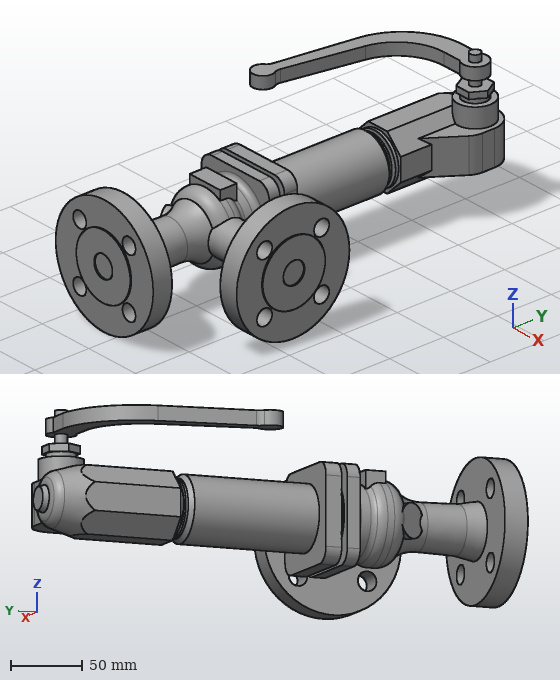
import cadquery as cq
import math


FACE_DISTANCE = 95.0
FLANGE_RADIUS = 105.0 / 2
FLANGE_BACK = 76.5
RAISED_FACE_RADIUS = 29.0
RAISED_FACE_HEIGHT = 1.0
PORT_RADIUS = 10.0
PORT_DEPTH = 1.0
BOLT_CIRCLE_RADIUS = 37.5
BOLT_HOLE_RADIUS = 7.0
BOLT_COUNT = 4
HUB_RADIUS = 21.2
HUB_START = 62.0

OUTLET_ROOT_RADIUS = 16.0
OUTLET_PIPE_RADIUS = 16.5

INLET_PIPE_RADIUS = 18.5
INLET_NECK_RADIUS = 17.5
INLET_NECK_Y = -32.0
BULGE_RADIUS = 31.0
BULGE_TOP_Y = 4.2
BULGE_BOTTOM_Y = -1.0
BULGE_ROOT_RADIUS = 24.0
BULGE_ROOT_Y = -12.5
SHOULDER_RADIUS = 28.5
SHOULDER_Y = 11.0
BODY_RADIUS = 27.0
BODY_Y = 15.2
BODY_FILLET = 5.0

SQUARE_SIDE = 72.8
SQUARE_CORNER = 11.0
LOWER_SQUARE_Y = 27.5
LOWER_SQUARE_TOP_Y = 37.5
UPPER_SQUARE_Y = 41.7
UPPER_SQUARE_TOP_Y = 53.7
GASKET_RADIUS = 31.5
GASKET_THICKNESS = 1.0
SPIGOT_RADIUS = 28.3

TUBE_RADIUS = 24.7
TUBE_SHOULDER_Y = 149.2
TUBE_RIM_RADIUS = 21.5
TUBE_RIM_Y = 152.7
TUBE_TOP_Y = 154.5
GROOVE_RADIUS = 18.5
COLLAR_RADIUS = 22.5
COLLAR_Y = 157.0

CAP_Y = 159.8
CAP_SIDES = 8
CAP_CORNER_RADIUS = TUBE_RADIUS / math.cos(math.pi / CAP_SIDES)
CONE_START_Y = 225.5
CONE_END_Y = 247.0
CONE_END_RADIUS = 20.5
CROWN_RADIUS = 15.5
CROWN_Y = 253.0
TIP_BASE_RADIUS = 10.0
TIP_BASE_Y = 254.0
TIP_RADIUS = 8.5
TOP_Y = 258.5

SHAFT_X = 22.3
SHAFT_Y = 231.2
SHAFT_RADIUS = 4.5
OVERALL_HEIGHT = 120.5
SHAFT_TOP_Z = OVERALL_HEIGHT - FLANGE_RADIUS
HOUSING_RADIUS = 20.5
HOUSING_HALF_HEIGHT = 15.5
HOUSING_CORNER_Y = 214.5
HOUSING_TIP_X = 19.0
HOUSING_TIP_Y = 180.3
HOUSING_CORNER_FILLET = 17.5
BOSS_RADIUS = 16.3
BOSS_TOP_Z = 33.0
WASHER_RADIUS = 11.0
NUT_BOTTOM_Z = 37.0
NUT_TOP_Z = 42.8
NUT_SIDES = 6
NUT_ACROSS_FLATS = 23.7

LEVER_BOTTOM_Z = 51.0
LEVER_TOP_Z = 62.0
LEVER_EYE_RADIUS = 11.0
LEVER_HALF_WIDTH = 9.0
OUTER_BEND_X = -1.5
OUTER_BEND_RADIUS = 56.2
OUTER_LEAN = 7.8
INNER_BEND_X = -1.5
INNER_BEND_RADIUS = 43.5
INNER_LEAN = 10.3
KNOB_X = -63.5
KNOB_Y = 108.0
KNOB_RADIUS = 9.2
KNOB_FILLET = 7.8

PAD_LENGTH = 33.0
PAD_BOTTOM_Y = -0.7
PAD_TOP_Y = 15.0
PAD_TOP_Z = 35.0

DRAIN_X = -22.5
DRAIN_Y = -18.5
DRAIN_RADIUS = 12.7
DRAIN_DEPTH = 17.5
DRAIN_ANGLE = 30


def bar_along_y(radius, y_start, y_end):
    """Cylinder on the body axis."""
    return cq.Workplane("XZ", origin=(0, y_start, 0)).circle(radius).extrude(y_start - y_end)


def bar_along_z(radius, z_start, z_end):
    """Cylinder on the lever shaft axis."""
    return cq.Workplane("XY", origin=(SHAFT_X, SHAFT_Y, z_start)).circle(radius).extrude(z_end - z_start)


def connection_flange(pipe_radius):
    """Hub and flange along +X, with a raised face, a shallow port recess and bolt holes."""
    disc_face = FACE_DISTANCE - RAISED_FACE_HEIGHT
    flange = (
        cq.Workplane("XY")
        .moveTo(HUB_START, 0)
        .lineTo(HUB_START, pipe_radius)
        .lineTo(FLANGE_BACK, HUB_RADIUS)
        .lineTo(FLANGE_BACK, FLANGE_RADIUS)
        .lineTo(disc_face, FLANGE_RADIUS)
        .lineTo(disc_face, RAISED_FACE_RADIUS)
        .lineTo(FACE_DISTANCE, RAISED_FACE_RADIUS)
        .lineTo(FACE_DISTANCE, PORT_RADIUS)
        .lineTo(FACE_DISTANCE - PORT_DEPTH, PORT_RADIUS)
        .lineTo(FACE_DISTANCE - PORT_DEPTH, 0)
        .close()
        .revolve(360, (0, 0, 0), (1, 0, 0))
    )
    holes = (
        cq.Workplane("YZ", origin=(FLANGE_BACK, 0, 0))
        .polarArray(BOLT_CIRCLE_RADIUS, 180 / BOLT_COUNT, 360, BOLT_COUNT)
        .circle(BOLT_HOLE_RADIUS)
        .extrude(disc_face - FLANGE_BACK)
    )
    return flange.cut(holes)


def outlet():
    """Slightly tapered side pipe with its flange."""
    pipe = (
        cq.Workplane("XY")
        .lineTo(0, OUTLET_ROOT_RADIUS)
        .lineTo(HUB_START, OUTLET_PIPE_RADIUS)
        .lineTo(HUB_START, 0)
        .close()
        .revolve(360, (0, 0, 0), (1, 0, 0))
    )
    return pipe.union(connection_flange(OUTLET_PIPE_RADIUS))


def inlet():
    """Flange facing -Y below the valve body."""
    return connection_flange(INLET_PIPE_RADIUS).rotate((0, 0, 0), (0, 0, 1), -90)


def valve_body():
    """Bulged body from the inlet hub up to the lower square flange."""
    bulge_inset = BULGE_RADIUS - BULGE_ROOT_RADIUS
    bulge_drop = BULGE_BOTTOM_Y - BULGE_ROOT_Y
    bulge_arc_radius = (bulge_inset**2 + bulge_drop**2) / (2 * bulge_inset)
    return (
        cq.Workplane("XY")
        .moveTo(0, -HUB_START)
        .lineTo(INLET_PIPE_RADIUS, -HUB_START)
        .lineTo(INLET_NECK_RADIUS, INLET_NECK_Y)
        .tangentArcPoint((BULGE_ROOT_RADIUS, BULGE_ROOT_Y), relative=False)
        .radiusArc((BULGE_RADIUS, BULGE_BOTTOM_Y), -bulge_arc_radius)
        .lineTo(BULGE_RADIUS, BULGE_TOP_Y)
        .tangentArcPoint((SHOULDER_RADIUS, SHOULDER_Y), relative=False)
        .tangentArcPoint((BODY_RADIUS, BODY_Y), relative=False)
        .lineTo(BODY_RADIUS, LOWER_SQUARE_Y - BODY_FILLET)
        .tangentArcPoint((BODY_RADIUS + BODY_FILLET, LOWER_SQUARE_Y), relative=False)
        .lineTo(0, LOWER_SQUARE_Y)
        .close()
        .revolve(360, (0, 0, 0), (0, 1, 0))
    )


def square_flange(y_start, y_end):
    """Square plate with rounded corners across the body axis."""
    return (
        cq.Workplane("XZ", origin=(0, y_start, 0))
        .rect(SQUARE_SIDE, SQUARE_SIDE)
        .extrude(y_start - y_end)
        .edges("|Y")
        .fillet(SQUARE_CORNER)
    )


def bonnet_joint():
    """Two square flanges clamping a gasket and spigot."""
    gasket_top = LOWER_SQUARE_TOP_Y + GASKET_THICKNESS
    return (
        square_flange(LOWER_SQUARE_Y, LOWER_SQUARE_TOP_Y)
        .union(bar_along_y(GASKET_RADIUS, LOWER_SQUARE_TOP_Y, gasket_top))
        .union(bar_along_y(SPIGOT_RADIUS, gasket_top, UPPER_SQUARE_Y))
        .union(square_flange(UPPER_SQUARE_Y, UPPER_SQUARE_TOP_Y))
    )


def bonnet_tube():
    """Round tube with a chamfered shoulder, a thread relief groove and a collar."""
    return (
        cq.Workplane("XY")
        .moveTo(0, UPPER_SQUARE_TOP_Y)
        .lineTo(TUBE_RADIUS, UPPER_SQUARE_TOP_Y)
        .lineTo(TUBE_RADIUS, TUBE_SHOULDER_Y)
        .lineTo(TUBE_RIM_RADIUS, TUBE_RIM_Y)
        .lineTo(TUBE_RIM_RADIUS, TUBE_TOP_Y)
        .lineTo(GROOVE_RADIUS, TUBE_TOP_Y)
        .lineTo(GROOVE_RADIUS, COLLAR_Y)
        .lineTo(COLLAR_RADIUS, COLLAR_Y)
        .lineTo(COLLAR_RADIUS, CAP_Y)
        .lineTo(0, CAP_Y)
        .close()
        .revolve(360, (0, 0, 0), (0, 1, 0))
    )


def cap():
    """Octagonal prism trimmed by a turned envelope: cone, rounded crown and small tip."""
    octagon = (
        cq.Workplane("XZ", origin=(0, CAP_Y, 0))
        .transformed(rotate=(0, 0, 180 / CAP_SIDES))
        .polygon(CAP_SIDES, 2 * CAP_CORNER_RADIUS)
        .extrude(CAP_Y - TOP_Y)
    )
    envelope = (
        cq.Workplane("XY")
        .moveTo(0, CAP_Y)
        .lineTo(CAP_CORNER_RADIUS, CAP_Y)
        .lineTo(CAP_CORNER_RADIUS, CONE_START_Y)
        .lineTo(CONE_END_RADIUS, CONE_END_Y)
        .tangentArcPoint((CROWN_RADIUS, CROWN_Y), relative=False)
        .tangentArcPoint((TIP_BASE_RADIUS, TIP_BASE_Y), relative=False)
        .lineTo(TIP_RADIUS, TOP_Y)
        .lineTo(0, TOP_Y)
        .close()
        .revolve(360, (0, 0, 0), (0, 1, 0))
    )
    return octagon.intersect(envelope)


def shaft_housing():
    """Side lobe on the cap that carries the lever shaft, its boss, washer and nut."""
    outer_x = SHAFT_X + HOUSING_RADIUS
    lobe = (
        cq.Workplane("XY", origin=(0, 0, -HOUSING_HALF_HEIGHT))
        .moveTo(0, SHAFT_Y + HOUSING_RADIUS)
        .lineTo(SHAFT_X, SHAFT_Y + HOUSING_RADIUS)
        .tangentArcPoint((outer_x, SHAFT_Y), relative=False)
        .lineTo(outer_x, HOUSING_CORNER_Y)
        .lineTo(HOUSING_TIP_X, HOUSING_TIP_Y)
        .lineTo(0, HOUSING_TIP_Y)
        .close()
        .extrude(2 * HOUSING_HALF_HEIGHT)
    )
    corner = cq.selectors.NearestToPointSelector((outer_x, HOUSING_CORNER_Y, 0))
    lobe = lobe.edges(corner).fillet(HOUSING_CORNER_FILLET)
    nut = (
        cq.Workplane("XY", origin=(SHAFT_X, SHAFT_Y, NUT_BOTTOM_Z))
        .transformed(rotate=(0, 0, 180 / NUT_SIDES))
        .polygon(NUT_SIDES, NUT_ACROSS_FLATS, circumscribed=True)
        .extrude(NUT_TOP_Z - NUT_BOTTOM_Z)
    )
    return (
        lobe
        .union(bar_along_z(BOSS_RADIUS, 0, BOSS_TOP_Z))
        .union(bar_along_z(WASHER_RADIUS, BOSS_TOP_Z, NUT_BOTTOM_Z))
        .union(nut)
        .union(bar_along_z(SHAFT_RADIUS, NUT_TOP_Z, SHAFT_TOP_Z))
    )


def bend_end(bend_x, bend_y, radius, lean):
    """Point of a lever bend where it turns into an edge leaning away from the Y axis."""
    angle = math.radians(lean)
    return bend_x - radius * math.cos(angle), bend_y + radius * math.sin(angle)


def run_down(start, lean, y_end):
    """Point at height y_end on the leaning lever edge that leaves start."""
    x_start, y_start = start
    return x_start - (y_start - y_end) * math.tan(math.radians(lean)), y_end


def lever():
    """Flat bent handle with an eye around the shaft and a round knob at its free end."""
    outer_y = SHAFT_Y + LEVER_HALF_WIDTH
    inner_y = SHAFT_Y - LEVER_HALF_WIDTH
    outer_end = bend_end(OUTER_BEND_X, outer_y - OUTER_BEND_RADIUS, OUTER_BEND_RADIUS, OUTER_LEAN)
    inner_end = bend_end(INNER_BEND_X, inner_y - INNER_BEND_RADIUS, INNER_BEND_RADIUS, INNER_LEAN)
    thickness = LEVER_TOP_Z - LEVER_BOTTOM_Z
    plane = cq.Workplane("XY", origin=(0, 0, LEVER_BOTTOM_Z))
    arm = (
        plane
        .moveTo(SHAFT_X, outer_y)
        .lineTo(OUTER_BEND_X, outer_y)
        .tangentArcPoint(outer_end, relative=False)
        .lineTo(*run_down(outer_end, OUTER_LEAN, KNOB_Y))
        .lineTo(*run_down(inner_end, INNER_LEAN, KNOB_Y))
        .lineTo(*inner_end)
        .radiusArc((INNER_BEND_X, inner_y), INNER_BEND_RADIUS)
        .lineTo(SHAFT_X, inner_y)
        .close()
        .extrude(thickness)
    )
    knob = plane.center(KNOB_X, KNOB_Y).circle(KNOB_RADIUS).extrude(thickness)
    neck = cq.selectors.BoxSelector(
        (KNOB_X - KNOB_RADIUS, KNOB_Y + KNOB_RADIUS / 2, LEVER_BOTTOM_Z),
        (KNOB_X + KNOB_RADIUS, KNOB_Y + KNOB_RADIUS, LEVER_TOP_Z),
    )
    eye = plane.center(SHAFT_X, SHAFT_Y).circle(LEVER_EYE_RADIUS).extrude(thickness)
    return arm.union(knob).edges("|Z").edges(neck).fillet(KNOB_FILLET).union(eye)


def name_pad():
    """Block rising from the body axis to a flat above the bulge."""
    return (
        cq.Workplane("XY", origin=(0, PAD_BOTTOM_Y, 0))
        .box(PAD_LENGTH, PAD_TOP_Y - PAD_BOTTOM_Y, PAD_TOP_Z, centered=(True, False, False))
    )


def drain_boss():
    """Flat-ended boss sunk into the lower half of the bulge on the -X side."""
    angle = math.radians(DRAIN_ANGLE)
    inward = cq.Vector(math.cos(angle), math.sin(angle), 0)
    face_centre = cq.Vector(DRAIN_X, DRAIN_Y, 0)
    return cq.Workplane(cq.Solid.makeCylinder(DRAIN_RADIUS, DRAIN_DEPTH, face_centre, inward))


result = (
    valve_body()
    .union(inlet())
    .union(outlet())
    .union(name_pad())
    .union(drain_boss())
    .union(bonnet_joint())
    .union(bonnet_tube())
    .union(cap())
    .union(shaft_housing())
    .union(lever())
)